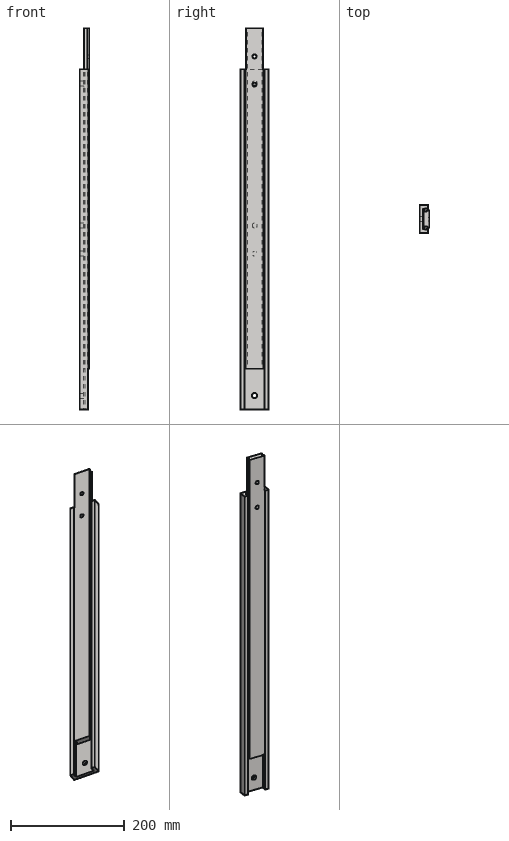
import cadquery as cq

total_length = 671.0
rail_extension = 72.0
member_length = total_length - rail_extension

channel_width = 50.0
channel_depth = 15.0
floor_thickness = 6.0
channel_opening = 35.0

rail_width = 30.0
rail_back = 7.0
rail_front = 17.0
rail_thickness = rail_front - rail_back

track_diameter = 5.5
track_x = 11.0
track_spacing = 31.5
track_y = track_spacing / 2

channel_hole_diameter = 9.0
channel_end_hole_inset = 25.0
channel_middle_hole_pitch = 50.0
rail_hole_diameter = 7.0
rail_hole_pitch = 50.0
rail_hole_count = 2


def block(x_start, x_size, width, z_start, length):
    """Box centred on Y = 0, starting at the given X and Z."""
    return cq.Workplane("XY").box(x_size, width, length, centered=(False, True, False)).translate(
        (x_start, 0, z_start)
    )


def cut_ball_tracks(body):
    """Cut the two round ball tracks along the full length."""
    tracks = (
        cq.Workplane("XY")
        .pushPoints([(track_x, -track_y), (track_x, track_y)])
        .circle(track_diameter / 2)
        .extrude(total_length)
    )
    return body.cut(tracks)


def drill_through(body, heights, diameter):
    """Drill round holes along X on the centre line at the given heights."""
    drills = (
        cq.Workplane("YZ")
        .pushPoints([(0, height) for height in heights])
        .circle(diameter / 2)
        .extrude(rail_front)
    )
    return body.cut(drills)


def make_channel():
    """C-shaped channel, open towards +X, with screw holes through its floor."""
    body = block(0, channel_depth, channel_width, 0, member_length)
    cavity_depth = channel_depth - floor_thickness
    body = body.cut(block(floor_thickness, cavity_depth, channel_opening, 0, member_length))
    body = cut_ball_tracks(body)
    middle = member_length / 2
    hole_heights = [
        channel_end_hole_inset,
        middle - channel_middle_hole_pitch / 2,
        middle + channel_middle_hole_pitch / 2,
        member_length - channel_end_hole_inset,
    ]
    return drill_through(body, hole_heights, channel_hole_diameter)


def make_rail():
    """Flat rail inside the channel, with screw holes near its extended end."""
    body = block(rail_back, rail_thickness, rail_width, rail_extension, member_length)
    body = cut_ball_tracks(body)
    hole_heights = [total_length - rail_hole_pitch * (i + 1) for i in range(rail_hole_count)]
    return drill_through(body, hole_heights, rail_hole_diameter)


channel = make_channel()
rail = make_rail()

result = cq.Compound.makeCompound([channel.val(), rail.val()])